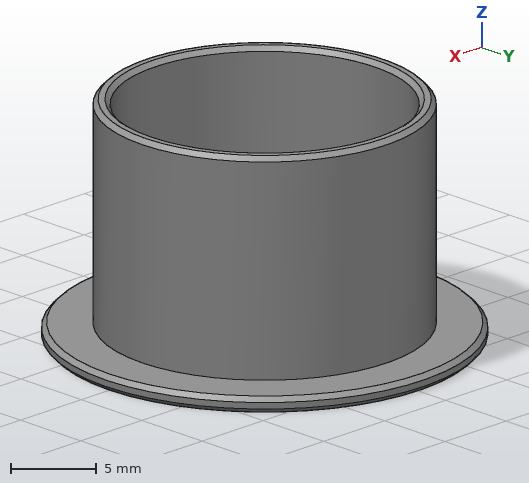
import cadquery as cq

bore_diameter = 18.0
sleeve_diameter = 20.0
flange_diameter = 26.0
flange_thickness = 1.0
total_height = 14.8
edge_chamfer = 0.3


def disc(diameter, height):
    """Solid cylinder on the Z axis, standing on Z = 0."""
    return cq.Workplane("XY").circle(diameter / 2).extrude(height)


def make_flange():
    """Flange with its top and bottom outer edges chamfered."""
    return disc(flange_diameter, flange_thickness).faces("<Z or >Z").edges().chamfer(edge_chamfer)


def make_sleeve():
    """Tube wall blank, still solid and square-edged."""
    return disc(sleeve_diameter, total_height)


def cut_bore(body):
    """Through bore along the whole part."""
    return body.cut(disc(bore_diameter, total_height))


def chamfer_sleeve_mouth(body):
    """Chamfer the inner and outer edges of the sleeve's top rim."""
    return body.faces(">Z").edges().chamfer(edge_chamfer)


flanged_blank = make_flange().union(make_sleeve())
result = chamfer_sleeve_mouth(cut_bore(flanged_blank))